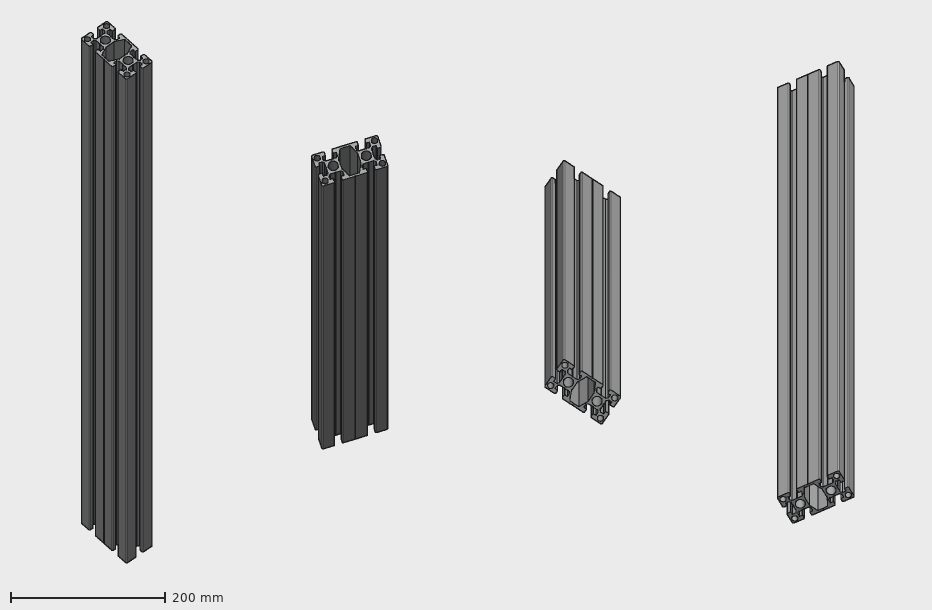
import cadquery as cq
import math

length = 1000.0
width = 90.0
depth = width / 2
corner_radius = 2.0

slot_offset = depth / 2
mouth_half_width = 5.2
lip_thickness = 6.0
lip_radius = 1.5
lip_inner_chamfer = 0.5
channel_width = 19.0
channel_shoulder_depth = 11.0
channel_floor_width = 14.0
slot_depth = 13.0
floor_groove_width = 1.0
floor_groove_depth = 0.5

face_groove_width = 1.0
face_groove_depth = 1.0

core_hole_diameter = 13.0
corner_hole_diameter = 8.0
corner_hole_inset = 6.0
cavity_wall = 3.0
cavity_half_height = depth / 2 - cavity_wall
cavity_half_width = 13.0
cavity_end_half_width = 7.0
cavity_side_half_height = 7.0


def prism(points):
    """Full-length solid with the given closed outline."""
    return cq.Workplane("XY").polyline(points).close().extrude(length)


def round_bars(centers, diameter):
    """Full-length round bars at the given centers."""
    return cq.Workplane("XY").pushPoints(centers).circle(diameter / 2).extrude(length)


def turned(shape, angle):
    """Shape rotated about the Z axis."""
    return shape.rotate((0, 0, 0), (0, 0, 1), angle)


def slot_cutter():
    """T-slot opening toward +Y, with its mouth on Y = 0."""
    lip_edge = mouth_half_width + lip_radius
    arc_inset = lip_radius * (1 - math.sqrt(0.5))
    arc_x = mouth_half_width + arc_inset
    right_side = [
        (mouth_half_width, -lip_thickness + lip_inner_chamfer),
        (mouth_half_width + lip_inner_chamfer, -lip_thickness),
        (channel_width / 2, -lip_thickness),
        (channel_width / 2, -channel_shoulder_depth),
        (channel_floor_width / 2, -slot_depth),
        (floor_groove_width / 2, -slot_depth),
    ]
    groove_bottom = (0, -slot_depth - floor_groove_depth)
    outline = cq.Workplane("XY").moveTo(lip_edge, 0)
    outline = outline.threePointArc((arc_x, -arc_inset), (mouth_half_width, -lip_radius))
    for point in right_side + [groove_bottom]:
        outline = outline.lineTo(*point)
    for x, y in reversed(right_side):
        outline = outline.lineTo(-x, y)
    outline = outline.lineTo(-mouth_half_width, -lip_radius)
    outline = outline.threePointArc((-arc_x, -arc_inset), (-lip_edge, 0))
    return outline.close().extrude(length)


def face_groove_cutter():
    """V-groove along the middle of the +Y side."""
    return prism([
        (-face_groove_width / 2, depth / 2),
        (face_groove_width / 2, depth / 2),
        (0, depth / 2 - face_groove_depth),
    ])


def central_cavity():
    """Eight-sided hollow between the two slotted halves."""
    upper_right = [
        (cavity_end_half_width, cavity_half_height),
        (cavity_half_width, cavity_side_half_height),
    ]
    right = upper_right + [(x, -y) for x, y in reversed(upper_right)]
    return prism(right + [(-x, y) for x, y in reversed(right)])


body = cq.Workplane("XY").rect(width, depth).extrude(length)
body = body.edges("|Z").fillet(corner_radius)

slot = slot_cutter()
end_slot = turned(slot, -90).translate((width / 2, 0, 0))
for half_turn in (0, 180):
    body = body.cut(turned(end_slot, half_turn))
    body = body.cut(turned(face_groove_cutter(), half_turn))
    for slot_x in (-slot_offset, slot_offset):
        face_slot = slot.translate((slot_x, depth / 2, 0))
        body = body.cut(turned(face_slot, half_turn))

corner_hole_x = width / 2 - corner_hole_inset
corner_hole_y = depth / 2 - corner_hole_inset
core_centers = [(-slot_offset, 0), (slot_offset, 0)]
corner_centers = [
    (x, y)
    for x in (-corner_hole_x, corner_hole_x)
    for y in (-corner_hole_y, corner_hole_y)
]
body = body.cut(central_cavity())
body = body.cut(round_bars(core_centers, core_hole_diameter))
result = body.cut(round_bars(corner_centers, corner_hole_diameter))